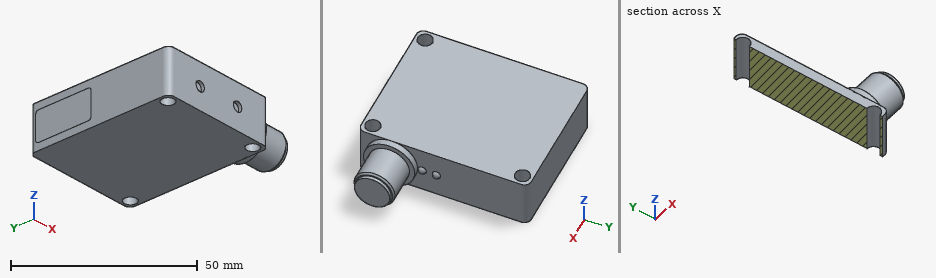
import cadquery as cq
import math

overall_x = 53.0
housing_x = 40.0
housing_y = 50.0
housing_z = 15.0
corner_radius = 2.0

mount_hole_diameter = 4.3
mount_hole_inset = 3.0

adjuster_diameter = 3.3
adjuster_depth = 1.1
adjuster_first_from_left = 12.55
adjuster_spacing = 15.0
adjuster_count = 2

dome_radius = 1.2
dome_height = 1.0
dome_positions_y = (-1.9, -6.1)

window_y = 19.9
window_z = 10.0
window_thickness = 1.0
window_corner_radius = 1.0
window_corner_gap = 0.1

connector_from_bottom = 10.0
flange_radius = housing_z / 2
flange_length = 1.9
barrel_radius = 6.0
barrel_chamfer_length = 0.6
barrel_chamfer_depth = 0.4
tip_radius = 5.2
tip_length = 1.0

half_x = housing_x / 2
half_y = housing_y / 2
half_z = housing_z / 2
connector_length = overall_x - housing_x
connector_y = connector_from_bottom - half_y


def revolve_about_x(profile):
    """Turn a closed profile, drawn with X as its axis, into a solid."""
    return profile.revolve(360, (0, 0, 0), (1, 0, 0))


def make_window():
    """Rounded rectangular plate whose outer face is flush with the -X side."""
    plate = cq.Workplane().box(window_thickness, window_y, window_z)
    plate = plate.edges("|X").fillet(window_corner_radius)
    center_x = -half_x + window_thickness / 2
    center_y = half_y - corner_radius - window_corner_gap - window_y / 2
    return plate.translate((center_x, center_y, 0))


def make_mount_holes():
    """Cutters for the through holes; the window corner (-X, +Y) has none."""
    hole_x = half_x - mount_hole_inset
    hole_y = half_y - mount_hole_inset
    centers = [(hole_x, hole_y), (hole_x, -hole_y), (-hole_x, -hole_y)]
    plane = cq.Workplane("XY", origin=(0, 0, -half_z))
    return plane.pushPoints(centers).circle(mount_hole_diameter / 2).extrude(housing_z)


def make_adjuster_holes():
    """Cutters for the row of blind holes in the -Y side."""
    first_x = -half_x + adjuster_first_from_left
    centers = [(first_x + i * adjuster_spacing, 0) for i in range(adjuster_count)]
    plane = cq.Workplane("XZ", origin=(0, -half_y, 0))
    return plane.pushPoints(centers).circle(adjuster_diameter / 2).extrude(-adjuster_depth)


def make_dome(y):
    """Spherical cap standing on the +X side at the given Y."""
    sphere_radius = (dome_radius**2 + dome_height**2) / (2 * dome_height)
    sphere_center = dome_height - sphere_radius
    arc_middle = sphere_radius * math.sqrt(0.5)
    profile = (
        cq.Workplane("XY")
        .lineTo(0, dome_radius)
        .threePointArc((sphere_center + arc_middle, arc_middle), (dome_height, 0))
        .close()
    )
    return revolve_about_x(profile).translate((half_x, y, 0))


def make_housing(window):
    """Rounded block with its holes, domes and the recess for the window."""
    block = cq.Workplane().box(housing_x, housing_y, housing_z)
    block = block.edges("|Z").fillet(corner_radius)
    for y in dome_positions_y:
        block = block.union(make_dome(y))
    return block.cut(make_mount_holes()).cut(make_adjuster_holes()).cut(window)


def make_connector():
    """Flange, chamfered barrel and narrower tip, turned about X."""
    tip_start = connector_length - tip_length
    chamfer_start = tip_start - barrel_chamfer_length
    chamfer_end_radius = barrel_radius - barrel_chamfer_depth
    profile = cq.Workplane("XY").polyline([
        (0, 0),
        (0, flange_radius),
        (flange_length, flange_radius),
        (flange_length, barrel_radius),
        (chamfer_start, barrel_radius),
        (tip_start, chamfer_end_radius),
        (tip_start, tip_radius),
        (connector_length, tip_radius),
        (connector_length, 0),
    ]).close()
    return revolve_about_x(profile).translate((half_x, connector_y, 0))


window = make_window()
housing = make_housing(window)
connector = make_connector()

result = cq.Compound.makeCompound([housing.val(), window.val(), connector.val()])